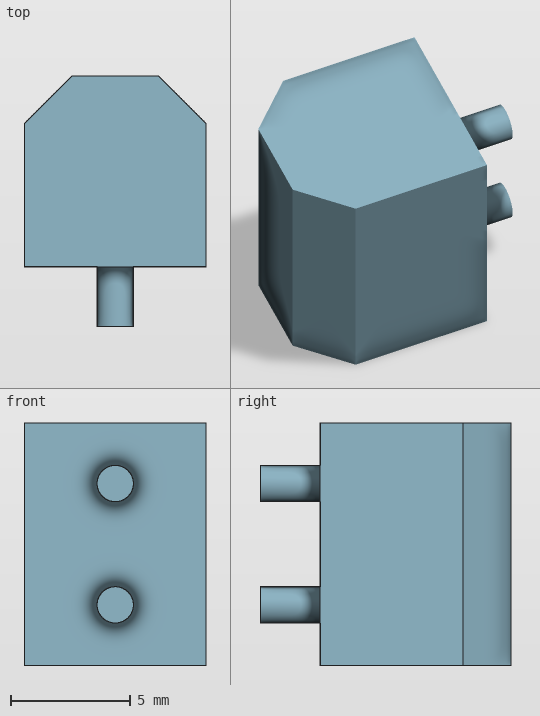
import cadquery as cq

width = 7.62
height = 10.16
overall_depth = 10.5
pin_length = 2.5
block_depth = overall_depth - pin_length
corner_chamfer = 2.01

pin_diameter = 1.52
pin_spacing = height / 2

block = (
    cq.Workplane("XY")
    .box(width, block_depth, height, centered=(True, False, True))
    .faces(">Y")
    .edges("|Z")
    .chamfer(corner_chamfer)
)

pins = (
    cq.Workplane("XZ")
    .pushPoints([(0, -pin_spacing / 2), (0, pin_spacing / 2)])
    .circle(pin_diameter / 2)
    .extrude(pin_length)
)

result = block.union(pins)